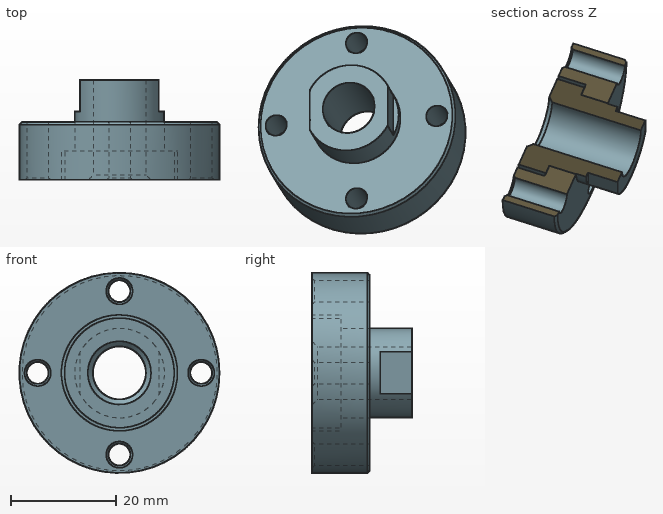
import cadquery as cq
import math


flange_diameter = 38.0
flange_thickness = 11.0
rear_chamfer = 0.5

screw_count = 4
screw_circle_diameter = 31.0
screw_hole_diameter = 4.1
screw_mouth_diameter = 5.0
screw_mouth_depth = (screw_mouth_diameter - screw_hole_diameter) / 2

total_length = 19.0
head_diameter = 20.8
shank_diameter = 17.0
bore_diameter = 10.0
bore_mouth_diameter = 12.0
bore_mouth_depth = (bore_mouth_diameter - bore_diameter) / 2
flat_spacing = 15.0
flat_length = 6.0

recess_diameter = 22.0
recess_depth = flange_thickness / 2


def cylinder(diameter, start, end):
    """Cylinder around the Y axis from y = start to y = end."""
    base = cq.Workplane("XZ", origin=(0, start, 0))
    return base.circle(diameter / 2).extrude(start - end)


def hole_cutter(diameter, mouth_diameter, mouth_depth, length):
    """Round hole along Y whose mouth at y = 0 widens into a cone."""
    profile = (
        cq.Workplane("XY")
        .polyline([
            (0, 0),
            (mouth_diameter / 2, 0),
            (diameter / 2, mouth_depth),
            (diameter / 2, length),
            (0, length),
        ])
        .close()
    )
    return profile.revolve(360, (0, 0, 0), (0, 1, 0))


def make_flange():
    flange = cylinder(flange_diameter, 0, flange_thickness).faces(">Y").edges().chamfer(rear_chamfer)
    flange = flange.cut(cylinder(recess_diameter, 0, recess_depth))
    flange = flange.cut(cylinder(shank_diameter, recess_depth, flange_thickness))
    screw_hole = hole_cutter(screw_hole_diameter, screw_mouth_diameter, screw_mouth_depth, flange_thickness)
    for index in range(screw_count):
        angle = 2 * math.pi * index / screw_count
        x = screw_circle_diameter / 2 * math.cos(angle)
        z = screw_circle_diameter / 2 * math.sin(angle)
        flange = flange.cut(screw_hole.translate((x, 0, z)))
    return flange


def make_hub():
    head = cylinder(head_diameter, 0, recess_depth)
    shank = cylinder(shank_diameter, recess_depth, total_length)
    hub = head.union(shank)
    hub = hub.cut(hole_cutter(bore_diameter, bore_mouth_diameter, bore_mouth_depth, total_length))
    flat_depth = (shank_diameter - flat_spacing) / 2
    flat_offset = (flat_spacing + flat_depth) / 2
    flat_middle = total_length - flat_length / 2
    for side in (-1, 1):
        cutter = cq.Workplane("XY").box(flat_depth, flat_length, shank_diameter)
        hub = hub.cut(cutter.translate((side * flat_offset, flat_middle, 0)))
    return hub


flange = make_flange()
hub = make_hub()

result = cq.Compound.makeCompound([flange.val(), hub.val()])